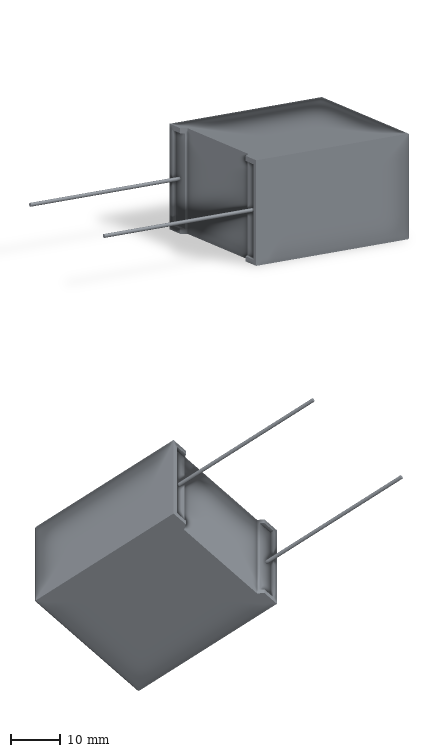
import cadquery as cq

case_width = 32.3
case_length = 37.0
case_height = 22.2
overall_length = 72.1
rear_fillet = 0.5

wall = 1.1
foot_height = 1.2
panel_half_width = 11.4
flare_width = 0.9
window_depth = 0.8

lead_diameter = 0.8
lead_spacing = 27.55

half_width = case_width / 2
front_y = -case_length
panel_y = front_y + foot_height
fill_front_y = front_y + window_depth
flare_half_width = panel_half_width + flare_width
window_inner_x = flare_half_width - flare_width * window_depth / foot_height
cavity_front_y = panel_y + wall
cavity_half_width = half_width - wall
cavity_height = case_height - 2 * wall
window_width = cavity_half_width - window_inner_x
window_center_x = (cavity_half_width + window_inner_x) / 2
sides = (-1, 1)


def block(x_size, z_size, y_front, y_rear, x_center=0):
    """Rectangular block between two Y planes, centred on Z = 0."""
    length = y_rear - y_front
    center = (x_center, (y_front + y_rear) / 2, 0)
    return cq.Workplane("XY").box(x_size, length, z_size).translate(center)


def make_fill():
    """Potting block that fills the case and shows through both foot windows."""
    fill = block(2 * cavity_half_width, cavity_height, cavity_front_y, -wall)
    for side in sides:
        tongue = block(window_width, cavity_height, fill_front_y, cavity_front_y, side * window_center_x)
        fill = fill.union(tongue)
    return fill


def make_case(fill):
    """Box with rounded rear edges, a recessed front panel and a window in each foot."""
    case = block(case_width, case_height, front_y, 0).faces(">Y").edges().fillet(rear_fillet)

    recess = (
        cq.Workplane("XY", origin=(0, 0, -case_height / 2))
        .moveTo(-flare_half_width, front_y)
        .lineTo(-panel_half_width, panel_y)
        .lineTo(panel_half_width, panel_y)
        .lineTo(flare_half_width, front_y)
        .close()
        .extrude(case_height)
    )
    case = case.cut(recess)

    for side in sides:
        window = block(window_width, cavity_height, front_y, fill_front_y, side * window_center_x)
        case = case.cut(window)
    return case.cut(fill)


def make_lead(side):
    """Straight round wire standing on the fill surface."""
    lead_length = overall_length - case_length + window_depth
    return (
        cq.Workplane("XZ", origin=(side * lead_spacing / 2, fill_front_y, 0))
        .circle(lead_diameter / 2)
        .extrude(lead_length)
    )


fill = make_fill()
case = make_case(fill)
leads = [make_lead(side) for side in sides]

result = cq.Compound.makeCompound([case.val(), fill.val(), *[lead.val() for lead in leads]])